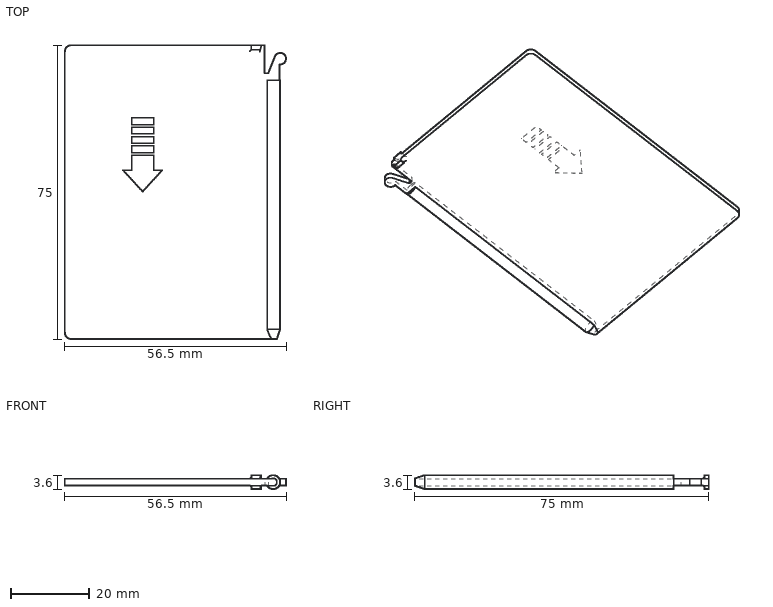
import cadquery as cq
import math

length = 75.0
thickness = 1.8
plate_right = 54.8
corner_radius = 1.65

slot_left = 51.0
slot_depth = 7.1
slot_floor_width = 0.9
hook_radius = 1.5
hook_right = 56.5
hook_top_drop = 1.95

bead_radius = 1.8
bead_x = 53.2
bead_back_drop = 9.0
tip_length = 2.5
tip_radius = 1.0

lug_left = 47.6
lug_back_right = 50.2
lug_side_slope = 0.25
lug_depth = 1.1
lug_foot_radius = 0.5

arrow_x = 19.9
arrow_tip_y = 37.65
arrow_head_width = 10.05
arrow_head_length = 5.5
arrow_shaft_width = 5.55
arrow_shaft_length = 3.75
bar_count = 4
bar_height = 1.7
bar_gap = 0.7
engraving_depth = 0.1

half_thickness = thickness / 2
bead_back_y = length - bead_back_drop
lug_height = bead_radius - half_thickness


def make_plate():
    """Flat plate with rounded left corners, up to the left wall of the slot."""
    plate = cq.Workplane("XY").box(slot_left, length, thickness, centered=(False, False, True))
    return plate.edges("|Z and <X").fillet(corner_radius)


def make_clip():
    """Strip from the slot to the bead axis, widening behind the bead into a round-ended arm."""
    slot_floor_y = length - slot_depth
    hook_x = hook_right - hook_radius
    hook_y = length - hook_top_drop - hook_radius
    hook_bottom_y = hook_y - math.sqrt(hook_radius**2 - (plate_right - hook_x) ** 2)

    foot_x = slot_left + slot_floor_width
    reach = math.hypot(hook_x - foot_x, hook_y - slot_floor_y)
    tangent_angle = math.atan2(hook_y - slot_floor_y, hook_x - foot_x) + math.asin(hook_radius / reach)
    tangent_length = math.sqrt(reach**2 - hook_radius**2)
    tangent_point = (
        foot_x + tangent_length * math.cos(tangent_angle),
        slot_floor_y + tangent_length * math.sin(tangent_angle),
    )
    return (
        cq.Workplane("XY", origin=(0, 0, -half_thickness))
        .moveTo(slot_left, 0)
        .lineTo(slot_left, slot_floor_y)
        .lineTo(foot_x, slot_floor_y)
        .lineTo(*tangent_point)
        .threePointArc((hook_right, hook_y), (plate_right, hook_bottom_y))
        .lineTo(plate_right, bead_back_y)
        .lineTo(bead_x, bead_back_y)
        .lineTo(bead_x, 0)
        .close()
        .extrude(thickness)
    )


def make_bead():
    """Round bead along the right edge, tapering to a blunt tip at the front."""
    profile = (
        cq.Workplane("XY", origin=(bead_x, 0, 0))
        .lineTo(tip_radius, 0)
        .lineTo(bead_radius, tip_length)
        .lineTo(bead_radius, bead_back_y)
        .lineTo(0, bead_back_y)
        .close()
    )
    return profile.revolve(360, (0, 0, 0), (0, 1, 0))


def add_lug(body):
    """Add a lug to the top face, with a cove along the foot of its left and front walls."""
    front_y = length - lug_depth
    front_right = lug_back_right - lug_side_slope * lug_depth
    outline = [(lug_left, length), (lug_left, front_y), (front_right, front_y), (lug_back_right, length)]
    top_face = cq.Workplane("XY", origin=(0, 0, half_thickness))
    body = body.union(top_face.polyline(outline).close().extrude(lug_height))

    left_foot = cq.NearestToPointSelector((lug_left, length - lug_depth / 2, half_thickness))
    front_foot = cq.NearestToPointSelector(((lug_left + front_right) / 2, front_y, half_thickness))
    return body.edges(left_foot + front_foot).fillet(lug_foot_radius)


def make_arrow():
    """Arrow pointing to the front with a row of bars behind it."""
    head_half = arrow_head_width / 2
    shaft_half = arrow_shaft_width / 2
    shoulder_y = arrow_tip_y + arrow_head_length
    shaft_end_y = shoulder_y + arrow_shaft_length
    floor = cq.Workplane("XY", origin=(arrow_x, 0, half_thickness - engraving_depth))
    arrow = (
        floor.moveTo(0, arrow_tip_y)
        .lineTo(head_half, shoulder_y)
        .lineTo(shaft_half, shoulder_y)
        .lineTo(shaft_half, shaft_end_y)
        .lineTo(-shaft_half, shaft_end_y)
        .lineTo(-shaft_half, shoulder_y)
        .lineTo(-head_half, shoulder_y)
        .close()
        .extrude(engraving_depth)
    )
    bar_pitch = bar_height + bar_gap
    for index in range(bar_count):
        bar_y = shaft_end_y + bar_gap + bar_height / 2 + index * bar_pitch
        bar = floor.center(0, bar_y).rect(arrow_shaft_width, bar_height).extrude(engraving_depth)
        arrow = arrow.add(bar)
    return arrow.combine()


result = make_plate().union(make_clip()).union(make_bead())
result = add_lug(result)
result = add_lug(result.mirror("XY")).mirror("XY")
result = result.cut(make_arrow())